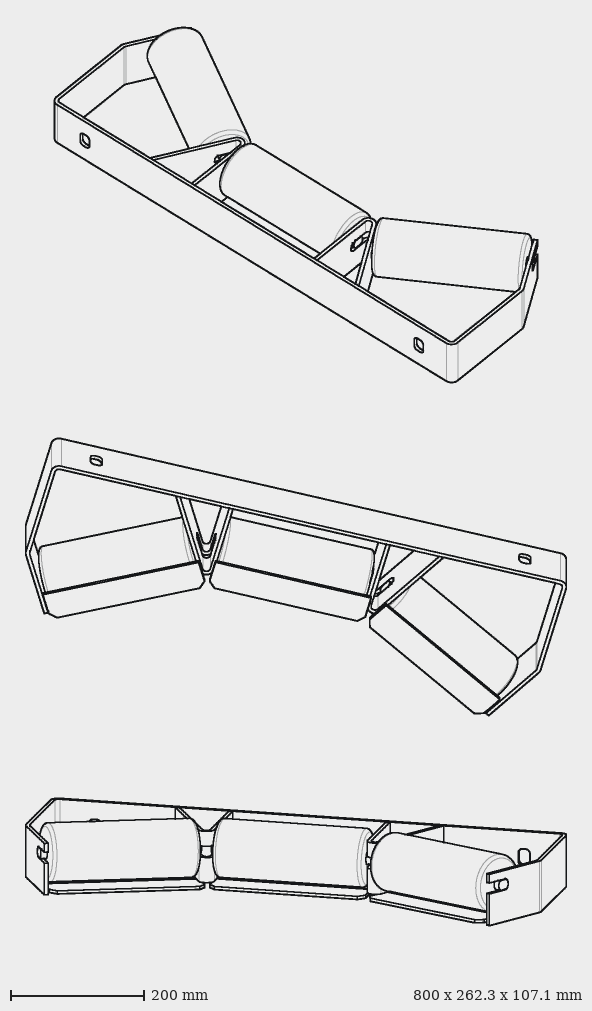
import cadquery as cq
import math


LEFT, CENTRE, RIGHT = -1, 0, 1

bar_height = 80.0
bar_thickness = 6.0
half_bar = bar_thickness / 2
bend_inner_radius = 6.0
trough_angle = 30.0
sin_trough = math.sin(math.radians(trough_angle))
cos_trough = math.cos(math.radians(trough_angle))
tan_trough = math.tan(math.radians(trough_angle))

frame_half_width = 400.0
shoulder_height = 162.0
arm_length = 108.5
mount_slot_spacing = 666.0
mount_slot_width = 18.0
mount_slot_height = 25.0
mount_slot_corner = 6.5

roller_radius = 44.5
roller_half_length = 115.0
roller_edge_fillet = 5.0
half_gap = 119.0
centre_roller_y = 100.0
centre_roller_z = 48.2
wing_roller_y = 168.1
wing_tilt = 2.3
sin_tilt = math.sin(math.radians(wing_tilt))

shaft_radius = 10.0
shaft_half_length = half_gap + bar_thickness
shaft_flat_width = 15.0
shaft_flat_start = half_gap - 1.0
shaft_slot_width = 17.0
slot_length = 3 * shaft_half_length
slot_reach = 100.0

guard_half_length = 121.0
guard_width = roller_radius
guard_thickness = 5.0
guard_drop = centre_roller_z
guard_chamfer = 10.0
guard_bottom = guard_drop + guard_thickness
guard_slide = guard_half_length + guard_bottom * sin_tilt - half_gap

arm_face_distance = frame_half_width * cos_trough + shoulder_height * sin_trough - bar_thickness
wing_distance = arm_face_distance - half_gap
wing_roller_x = (wing_distance - wing_roller_y * sin_trough) / cos_trough
wing_roller_z = centre_roller_z + half_gap * sin_tilt


def place(body, side):
    """Move a body built along X at the origin to the roller position on the given side."""
    if side == CENTRE:
        return body.translate((0, centre_roller_y, centre_roller_z))
    tilted = body.rotate((0, 0, 0), (0, 1, 0), -side * wing_tilt)
    turned = tilted.rotate((0, 0, 0), (0, 0, 1), side * trough_angle)
    return turned.translate((side * wing_roller_x, wing_roller_y, wing_roller_z))


def bent_bar(corners):
    """Flat bar whose middle line follows the corners, with every corner rounded."""
    path = cq.Workplane("XY").polyline(corners).wire().val()
    bends = path.Vertices()[1:-1]
    path = path.fillet2D(bend_inner_radius + half_bar, bends)
    start, after_start = corners[0], corners[1]
    across = cq.Plane(
        origin=(*start, 0),
        xDir=(0, 0, 1),
        normal=(after_start[0] - start[0], after_start[1] - start[1], 0),
    )
    section = cq.Workplane(across).center(bar_height / 2, 0).rect(bar_height, bar_thickness)
    return section.sweep(cq.Workplane(path))


def shaft_slot(side):
    """Open slot for a shaft: round at the bottom, running out towards the belt side."""
    bottom = cq.Workplane("YZ").circle(shaft_radius).extrude(slot_length / 2, both=True)
    channel = cq.Workplane("XY").box(
        slot_length, slot_reach, 2 * shaft_radius, centered=(True, False, True)
    )
    band = cq.Workplane("XY").box(slot_length, 2 * slot_reach, shaft_slot_width)
    return place(bottom.union(channel).intersect(band), side)


def make_frame():
    side_x = frame_half_width - half_bar
    shoulder_y = shoulder_height - half_bar * math.tan(math.radians(trough_angle / 2))
    tip_x = side_x - arm_length * sin_trough
    tip_y = shoulder_y + arm_length * cos_trough
    right_corners = [(side_x, half_bar), (side_x, shoulder_y), (tip_x, tip_y)]
    left_corners = [(-x, y) for x, y in reversed(right_corners)]
    frame = bent_bar(left_corners + right_corners)
    mount_slots = (
        cq.Workplane("XZ")
        .center(0, bar_height / 2)
        .rarray(mount_slot_spacing, 1, 2, 1)
        .rect(mount_slot_width, mount_slot_height)
        .extrude(-bar_thickness)
        .edges("|Y")
        .fillet(mount_slot_corner)
    )
    return frame.cut(mount_slots)


def make_bracket(side):
    """V-shaped bracket standing on the frame: one upright leg and one sloping leg."""
    upright_x = half_gap + half_bar
    slope_distance = wing_distance - half_gap - half_bar
    foot_x = slope_distance / cos_trough
    peak_y = (foot_x - upright_x) / tan_trough
    root = (foot_x + half_bar * tan_trough, -half_bar)
    corners = [root, (upright_x, peak_y), (upright_x, -half_bar)]
    bracket = bent_bar([(side * x, y) for x, y in corners])
    base = cq.Workplane("XY").box(
        2 * frame_half_width, 4 * bar_thickness, 3 * bar_height
    ).translate((0, -bar_thickness, 0))
    return bracket.cut(base)


def make_roller():
    """Roller drum with its shaft."""
    drum = (
        cq.Workplane("XZ")
        .moveTo(-roller_half_length, 0)
        .vLine(-roller_radius)
        .hLine(2 * roller_half_length)
        .vLine(roller_radius)
        .close()
        .revolve(360, (0, 0, 0), (1, 0, 0))
        .faces("<X or >X")
        .edges()
        .fillet(roller_edge_fillet)
    )
    shaft = cq.Workplane("YZ").circle(shaft_radius).extrude(shaft_half_length, both=True)
    flat_ends = cq.Workplane("XY").box(2 * shaft_half_length, 2 * shaft_radius, shaft_flat_width)
    round_middle = cq.Workplane("XY").box(2 * shaft_flat_start, 2 * shaft_radius, 2 * shaft_radius)
    return drum.union(shaft.intersect(flat_ends.union(round_middle)))


def make_guard(side):
    """Plate below a roller; a wing guard is slid inward so that it ends at the frame arm."""
    plate = (
        cq.Workplane("XY")
        .box(2 * guard_half_length, guard_width, guard_thickness, centered=(True, False, False))
        .edges("|Z and >Y")
        .chamfer(guard_chamfer)
        .translate((-side * guard_slide, 0, -guard_drop - guard_thickness))
    )
    return place(plate, side)


rollers = [place(make_roller(), side) for side in (LEFT, CENTRE, RIGHT)]
guards = [make_guard(side) for side in (LEFT, CENTRE, RIGHT)]

frame = make_frame()
for side in (LEFT, RIGHT):
    frame = frame.cut(shaft_slot(side))

brackets = []
for side in (LEFT, RIGHT):
    bracket = make_bracket(side)
    bracket = bracket.cut(shaft_slot(CENTRE))
    bracket = bracket.cut(shaft_slot(side))
    brackets.append(bracket)

bodies = [frame, *brackets, *rollers, *guards]
result = cq.Compound.makeCompound([body.val() for body in bodies])